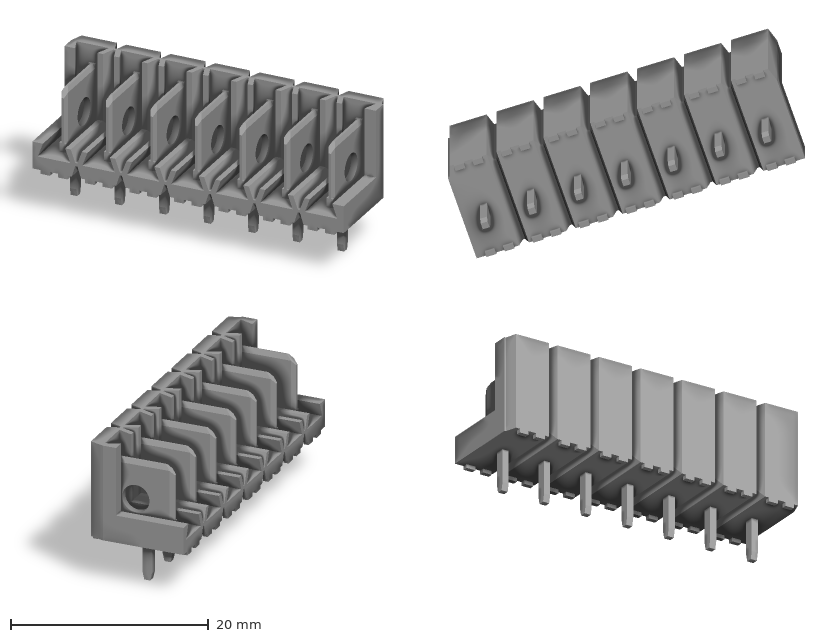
import cadquery as cq


cell_count = 7
row_length = 35.0
pitch = row_length / cell_count
cell_shift = 0.052

arm_length = 10.5
arm_thickness = 3.0
rear_y = arm_length / 2
front_y = -rear_y

channel_depth = 1.47
channel_floor_half = 1.82
channel_mouth_half = 1.25

outer_groove_depth = 1.25
inner_groove_start = 1.6
groove_tip_half = 0.122
outer_groove_half = 0.52
inner_groove_half = 0.63
end_flare_depth = 1.55

blade_thickness = 0.75
root_embedment = 0.1
blade_root = channel_depth - root_embedment
blade_reach = 8.5
blade_edge_thickness = 0.28
bevel_width = 0.5
top_bevel_start = 1.75
front_bevel_start = 2.5
blade_corner = 2 * bevel_width
hole_diameter = 3.0
hole_offset = 4.27

pin_width = 1.05
pin_offset = 5.53
pin_length = 4.5
pin_taper_length = 0.85
pin_tip_width = 0.65

foot_height = 0.42
foot_depth = 0.55
feet_span = 3.0
feet_gap = 0.9

row_start = -row_length / 2
row_end = row_length / 2
cell_centres = [row_start + (i + 0.5) * pitch - cell_shift for i in range(cell_count)]
cell_borders = [x + pitch / 2 for x in cell_centres[:-1]]


def box(x_range, y_range, z_range):
    size = [high - low for low, high in (x_range, y_range, z_range)]
    corner = (x_range[0], y_range[0], z_range[0])
    return cq.Workplane("XY").box(*size, centered=False).translate(corner)


def along_wall(points, start=0):
    """Extrude an (x, depth) outline up the wall from a height; depth runs inwards from the rear face."""
    outline = [(x, rear_y - depth) for x, depth in points]
    plane = cq.Workplane("XY", origin=(0, 0, start))
    return plane.polyline(outline).close().extrude(arm_length - start)


def along_base(points, start=0):
    """Extrude an (x, depth) outline to the front of the base; depth runs up from the underside.

    The extrusion starts at the given distance from the rear face.
    """
    plane = cq.Workplane("XZ", origin=(0, rear_y - start, 0))
    return plane.polyline(points).close().extrude(arm_length - start)


def arm_outline():
    """Cross-section of an arm with its inner V grooves."""
    points = [(row_end, 0), (row_start, 0), (row_start, arm_thickness)]
    for x in cell_borders:
        points += [
            (x - inner_groove_half, arm_thickness),
            (x - groove_tip_half, inner_groove_start),
            (x + groove_tip_half, inner_groove_start),
            (x + inner_groove_half, arm_thickness),
        ]
    points.append((row_end, arm_thickness))
    return points


def channel_outline(x):
    return [
        (x - channel_mouth_half, arm_thickness),
        (x - channel_floor_half, channel_depth),
        (x + channel_floor_half, channel_depth),
        (x + channel_mouth_half, arm_thickness),
    ]


def outer_groove_outline(x):
    return [
        (x - outer_groove_half, 0),
        (x - groove_tip_half, outer_groove_depth),
        (x + groove_tip_half, outer_groove_depth),
        (x + outer_groove_half, 0),
    ]


def make_housing():
    outline = arm_outline()
    housing = along_wall(outline).union(along_base(outline))
    for x in cell_borders:
        housing = housing.cut(along_wall(outer_groove_outline(x)))
        housing = housing.cut(along_base(outer_groove_outline(x)))
    for x in cell_centres:
        housing = housing.cut(along_wall(channel_outline(x), channel_depth))
        housing = housing.cut(along_base(channel_outline(x), channel_depth))

    first_border = row_start - cell_shift
    last_border = row_end - cell_shift
    start_corner = [
        (row_start, 0),
        (first_border + outer_groove_half, 0),
        (first_border + groove_tip_half, outer_groove_depth),
        (row_start, end_flare_depth),
    ]
    end_corner = [
        (row_end, 0),
        (last_border - outer_groove_half, 0),
        (last_border - groove_tip_half, outer_groove_depth),
        (row_end, outer_groove_depth),
    ]
    return housing.cut(along_wall(start_corner)).cut(along_wall(end_corner))


def make_blade():
    """Blade in the plane X = 0, rooted in the wall and the base."""
    half = blade_thickness / 2
    edge_half = blade_edge_thickness / 2
    blade_front = rear_y - blade_reach
    side = [
        (rear_y - blade_root, blade_root),
        (rear_y - blade_root, blade_reach),
        (blade_front + blade_corner, blade_reach),
        (blade_front, blade_reach - blade_corner),
        (blade_front, blade_root),
    ]
    blade = cq.Workplane("YZ").polyline(side).close().extrude(half, both=True)

    for sign in (-1, 1):
        bevel = [
            (sign * half, blade_reach - bevel_width),
            (sign * half, blade_reach),
            (sign * edge_half, blade_reach),
        ]
        top_bevel = (
            cq.Workplane("XZ", origin=(0, rear_y - top_bevel_start, 0))
            .polyline(bevel).close().extrude(blade_reach)
        )
        front_bevel = (
            cq.Workplane("XY", origin=(0, 0, front_bevel_start))
            .polyline([(x, rear_y - depth) for x, depth in bevel]).close().extrude(blade_reach)
        )
        blade = blade.cut(top_bevel).cut(front_bevel)
    return blade


def make_hole():
    """Cylinder for the cross hole of a blade."""
    return (
        cq.Workplane("YZ", origin=(0, rear_y - hole_offset, hole_offset))
        .circle(hole_diameter / 2).extrude(blade_thickness, both=True)
    )


def make_pin():
    """Pin below the base with its end tapered in Y."""
    outline = [
        (-pin_width / 2, channel_depth),
        (-pin_width / 2, pin_taper_length - pin_length),
        (-pin_tip_width / 2, -pin_length),
        (pin_tip_width / 2, -pin_length),
        (pin_width / 2, pin_taper_length - pin_length),
        (pin_width / 2, channel_depth),
    ]
    return (
        cq.Workplane("YZ", origin=(0, rear_y - pin_offset, 0))
        .polyline(outline).close().extrude(blade_thickness / 2, both=True)
    )


def make_feet():
    """Two feet at the front edge and two at the rear edge of a cell."""
    feet = cq.Workplane("XY")
    for x_range in ((-feet_span / 2, -feet_gap / 2), (feet_gap / 2, feet_span / 2)):
        for y_range in ((front_y, front_y + foot_depth), (rear_y - foot_depth, rear_y)):
            feet = feet.union(box(x_range, y_range, (-foot_height, channel_depth / 2)))
    return feet


terminal = make_blade().cut(make_hole()).union(make_pin()).union(make_feet())

result = make_housing()
for x in cell_centres:
    result = result.union(terminal.translate((x, 0, 0)))